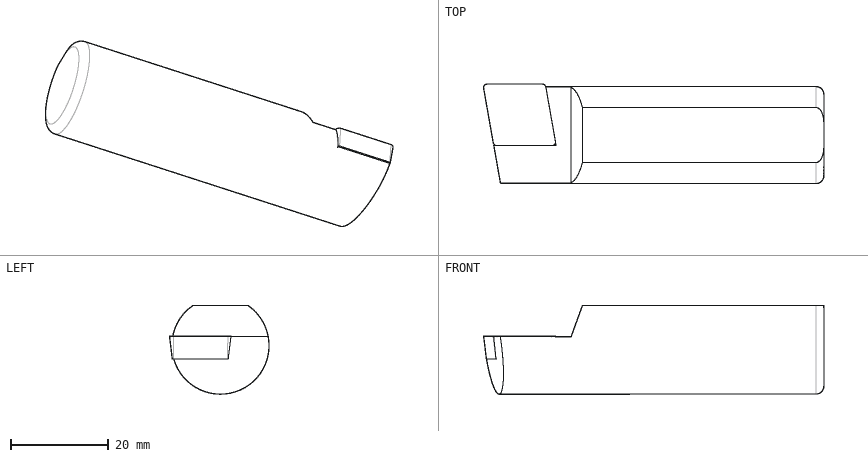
import cadquery as cq
import math

overall_length = 70.0
shank_radius = 10.0
flat_height = 8.25
rear_fillet = 1.7
ledge_height = 1.8
shoulder_x = 18.0
shoulder_lean = 20.0

insert_top = 1.95
insert_thickness = 4.75
insert_width = 12.7
insert_side_y = 10.5
nose_radius = 0.8
lead_angle = 10.0
relief_angle = 7.0

lead = math.radians(lead_angle)
relief = math.radians(relief_angle)
edge_length = insert_width / math.cos(lead)
edge_run = insert_width * math.tan(lead)
corner_x = nose_radius * (1 - (1 + math.sin(lead)) / math.cos(lead))
cut_size = 2 * overall_length


def rhombic_prism(corner_radius=0):
    """Rhombus on the insert top plane, narrowing downward at the relief angle."""
    inner_y = insert_side_y - insert_width
    outline = cq.Sketch().polygon([
        (corner_x, insert_side_y),
        (corner_x + edge_run, inner_y),
        (corner_x + edge_run + edge_length, inner_y),
        (corner_x + edge_length, insert_side_y),
        (corner_x, insert_side_y),
    ])
    if corner_radius:
        outline = outline.vertices().fillet(corner_radius)
    return (
        cq.Workplane("XY", origin=(0, 0, insert_top))
        .placeSketch(outline)
        .extrude(-insert_thickness, taper=relief_angle)
    )


def round_bar():
    bar = cq.Workplane("YZ").circle(shank_radius).extrude(overall_length)
    return bar.faces(">X").edges().fillet(rear_fillet)


def above_flat():
    """Material removed to leave the clamping flat."""
    return (
        cq.Workplane("XY", origin=(0, 0, flat_height))
        .rect(cut_size, cut_size)
        .extrude(shank_radius)
    )


def above_ledge():
    """Material removed above the tool nose, up to the leaning shoulder."""
    cut_height = shank_radius - ledge_height
    shoulder_run = cut_height * math.tan(math.radians(shoulder_lean))
    return (
        cq.Workplane("XZ")
        .polyline([
            (-shank_radius, ledge_height),
            (shoulder_x, ledge_height),
            (shoulder_x + shoulder_run, shank_radius),
            (-shank_radius, shank_radius),
        ])
        .close()
        .extrude(shank_radius, both=True)
    )


def ahead_of_nose():
    """Material removed in front of the end face, which is in line with the insert flank."""
    outward = (
        -math.cos(lead) * math.cos(relief),
        -math.sin(lead) * math.cos(relief),
        -math.sin(relief),
    )
    end_plane = cq.Plane(
        origin=(corner_x, insert_side_y, insert_top),
        xDir=(math.sin(lead), -math.cos(lead), 0),
        normal=outward,
    )
    return cq.Workplane(end_plane).rect(cut_size, cut_size).extrude(cut_size)


def make_shank():
    blank = round_bar().cut(above_flat()).cut(above_ledge()).cut(ahead_of_nose())
    return blank.cut(rhombic_prism())


def make_insert():
    return rhombic_prism(nose_radius)


shank = make_shank()
insert = make_insert()

result = cq.Compound.makeCompound([shank.solids().val(), insert.val()])